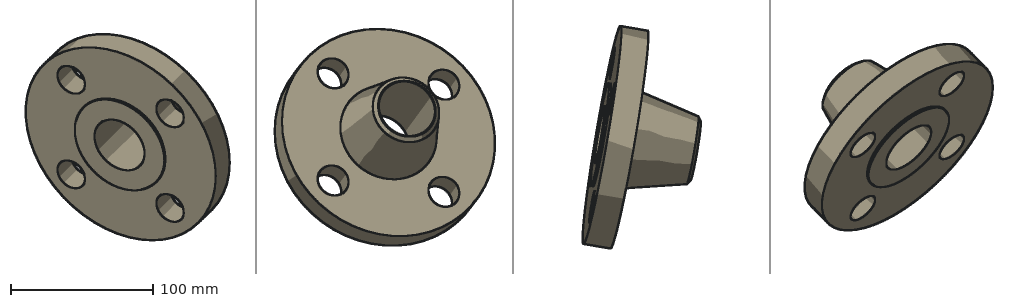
import cadquery as cq

flange_diameter = 155.5
flange_thickness = 19.3
face_diameter = 73.2
face_height = 1.5

overall_length = 68.4
neck_base_diameter = 70.3
neck_end_diameter = 48.5
bevel_length = 2.3
bevel_inset = 3.3

bore_diameter = 40.9
bolt_hole_diameter = 22.4
bolt_circle_diameter = 114.3
bolt_count = 4
first_bolt_angle = 45.0

face_y = -overall_length / 2
flange_front_y = face_y + face_height
flange_back_y = flange_front_y + flange_thickness
neck_end_y = face_y + overall_length
bevel_start_y = neck_end_y - bevel_length


def flange_body():
    """Raised face, disc, neck and weld bevel as one revolved half profile."""
    profile = (
        cq.Workplane("XY")
        .moveTo(0, face_y)
        .lineTo(face_diameter / 2, face_y)
        .lineTo(face_diameter / 2, flange_front_y)
        .lineTo(flange_diameter / 2, flange_front_y)
        .lineTo(flange_diameter / 2, flange_back_y)
        .lineTo(neck_base_diameter / 2, flange_back_y)
        .lineTo(neck_end_diameter / 2, bevel_start_y)
        .lineTo(neck_end_diameter / 2 - bevel_inset, neck_end_y)
        .lineTo(0, neck_end_y)
        .close()
    )
    return profile.revolve(360, (0, 0, 0), (0, 1, 0))


def axial_plane():
    """Plane at the sealing face, with its normal along -Y."""
    return cq.Workplane("XZ", origin=(0, face_y, 0))


def bore():
    return axial_plane().circle(bore_diameter / 2).extrude(-overall_length)


def bolt_holes():
    return (
        axial_plane()
        .polarArray(bolt_circle_diameter / 2, first_bolt_angle, 360, bolt_count)
        .circle(bolt_hole_diameter / 2)
        .extrude(-(face_height + flange_thickness))
    )


result = flange_body().cut(bore()).cut(bolt_holes())